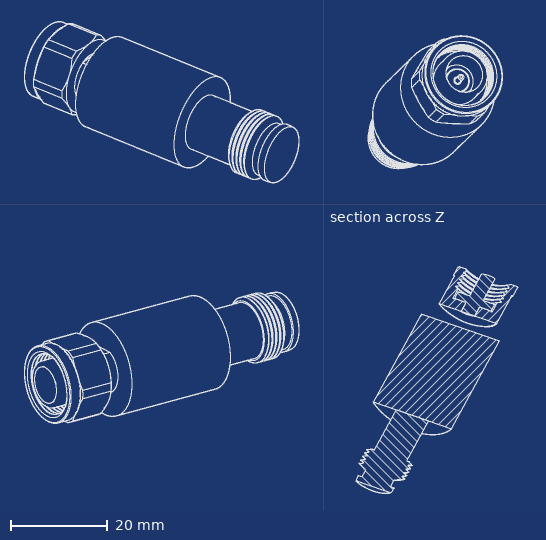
import cadquery as cq
import math


total_length = 60.0

housing_radius = 10.0
housing_start = 14.8
housing_length = 25.0
housing_end = housing_start + housing_length

thread_pitch = 1.0
thread_major_radius = 7.0
thread_depth = 0.5
groove_mouth_width = 0.8
groove_floor_width = 0.15

tube_radius = 5.0
tube_tip_fillet = 0.55
bore_mouth_radius = 3.87
bore_radius = 3.3
bore_taper_length = 3.35
bore_depth = 6.0
flange_start = 6.5
flange_end = 8.5
flange_radius = 6.3
neck_half_flats = 4.5

insulator_radius = 2.5
insulator_chamfer = 0.15
pin_shank_radius = 0.8
pin_radius = 0.6
pin_tip_radius = 0.3
pin_tip_length = 0.2
pin_start = 2.7

nut_start = 0.4
nut_end = 11.0
collar_radius = 8.25
collar_chamfer = 0.2
hex_start = 3.0
hex_across_flats = 16.0
hex_corner_radius = 8.75
hex_front_bevel = 0.2
hex_rear_bevel = 0.6
nut_minor_radius = 6.45
nut_groove_count = 5

shaft_radius = 6.0
jack_thread_start = 51.0
jack_thread_start_radius = 6.35
first_groove = 52.05
jack_groove_count = 4
last_groove = first_groove + (jack_groove_count - 1) * thread_pitch
end_crest_width = 0.1
jack_neck_start = 56.65
jack_neck_radius = 5.75
lip_start = 58.45
lip_taper_start = 59.3
lip_radius = 6.25
lip_end_radius = 6.15


def revolve_x(outline):
    """Revolve an (x, radius) outline about the X axis."""
    return outline.close().revolve(360, (0, 0, 0), (1, 0, 0))


def rod(radius, start, end):
    """Solid cylinder along X."""
    return cq.Workplane("YZ", origin=(start, 0, 0)).circle(radius).extrude(end - start)


def thread_groove(centre, mouth_radius, floor_radius):
    """Ring with the section of one thread groove, narrowing from mouth to floor."""
    half_mouth = groove_mouth_width / 2
    half_floor = groove_floor_width / 2
    return revolve_x(
        cq.Workplane("XY")
        .moveTo(centre - half_mouth, mouth_radius)
        .lineTo(centre - half_floor, floor_radius)
        .lineTo(centre + half_floor, floor_radius)
        .lineTo(centre + half_mouth, mouth_radius)
    )


def make_housing():
    return rod(housing_radius, housing_start, housing_end)


def make_plug_body():
    fillet_offset = tube_tip_fillet * (1 - math.sqrt(0.5))
    body = revolve_x(
        cq.Workplane("XY")
        .moveTo(0, bore_mouth_radius)
        .lineTo(0, tube_radius - tube_tip_fillet)
        .threePointArc((fillet_offset, tube_radius - fillet_offset), (tube_tip_fillet, tube_radius))
        .lineTo(flange_start, tube_radius)
        .lineTo(flange_start, flange_radius)
        .lineTo(flange_end, flange_radius)
        .lineTo(flange_end, tube_radius)
        .lineTo(housing_start, tube_radius)
        .lineTo(housing_start, insulator_radius)
        .lineTo(bore_depth, insulator_radius)
        .lineTo(bore_depth, bore_radius)
        .lineTo(bore_taper_length, bore_radius)
    )
    neck_length = housing_start - nut_end
    flat_depth = tube_radius - neck_half_flats
    for side in (1, -1):
        flat_cutter = cq.Workplane("XY").box(neck_length, 2 * tube_radius, flat_depth).translate(
            (nut_end + neck_length / 2, 0, side * (neck_half_flats + flat_depth / 2))
        )
        body = body.cut(flat_cutter)
    return body


def make_insulator():
    disc = rod(insulator_radius, bore_depth, housing_start).faces("<X").chamfer(insulator_chamfer)
    return disc.cut(rod(pin_shank_radius, bore_depth, housing_start))


def make_pin():
    return revolve_x(
        cq.Workplane("XY")
        .moveTo(pin_start, 0)
        .lineTo(pin_start, pin_tip_radius)
        .lineTo(pin_start + pin_tip_length, pin_radius)
        .lineTo(bore_depth, pin_radius)
        .lineTo(bore_depth, pin_shank_radius)
        .lineTo(housing_start, pin_shank_radius)
        .lineTo(housing_start, 0)
    )


def make_nut():
    apothem = hex_across_flats / 2
    collar = rod(collar_radius, nut_start, hex_start).faces("<X").chamfer(collar_chamfer)
    hexagon = (
        cq.Workplane("YZ", origin=(hex_start, 0, 0))
        .polygon(6, hex_across_flats / math.cos(math.pi / 6))
        .extrude(nut_end - hex_start)
    )
    turned_blank = revolve_x(
        cq.Workplane("XY")
        .moveTo(hex_start, 0)
        .lineTo(hex_start, apothem)
        .lineTo(hex_start + hex_front_bevel, hex_corner_radius)
        .lineTo(nut_end - hex_rear_bevel, hex_corner_radius)
        .lineTo(nut_end, apothem)
        .lineTo(nut_end, 0)
    )
    nut = collar.union(hexagon.intersect(turned_blank))

    lead_in_end = nut_start + thread_major_radius - nut_minor_radius
    bore = revolve_x(
        cq.Workplane("XY")
        .moveTo(nut_start, 0)
        .lineTo(nut_start, thread_major_radius)
        .lineTo(lead_in_end, nut_minor_radius)
        .lineTo(flange_end, nut_minor_radius)
        .lineTo(flange_end, tube_radius)
        .lineTo(nut_end, tube_radius)
        .lineTo(nut_end, 0)
    )
    nut = nut.cut(bore)
    for index in range(nut_groove_count):
        centre = lead_in_end + (index + 0.5) * thread_pitch
        nut = nut.cut(thread_groove(centre, nut_minor_radius, nut_minor_radius + thread_depth))
    return nut


def make_jack_body():
    body = revolve_x(
        cq.Workplane("XY")
        .moveTo(housing_end, 0)
        .lineTo(housing_end, shaft_radius)
        .lineTo(jack_thread_start, shaft_radius)
        .lineTo(jack_thread_start, jack_thread_start_radius)
        .lineTo(first_groove - groove_mouth_width / 2, thread_major_radius)
        .lineTo(last_groove + groove_mouth_width / 2 + end_crest_width, thread_major_radius)
        .lineTo(jack_neck_start, jack_neck_radius)
        .lineTo(lip_start, jack_neck_radius)
        .lineTo(lip_start, lip_radius)
        .lineTo(lip_taper_start, lip_radius)
        .lineTo(total_length, lip_end_radius)
        .lineTo(total_length, 0)
    )
    for index in range(jack_groove_count):
        centre = first_groove + index * thread_pitch
        body = body.cut(thread_groove(centre, thread_major_radius, thread_major_radius - thread_depth))
    return body


housing = make_housing()
plug_body = make_plug_body()
insulator = make_insulator()
pin = make_pin()
nut = make_nut()
jack_body = make_jack_body()

result = cq.Compound.makeCompound(
    [housing.val(), plug_body.val(), insulator.val(), pin.val(), nut.val(), jack_body.val()]
)